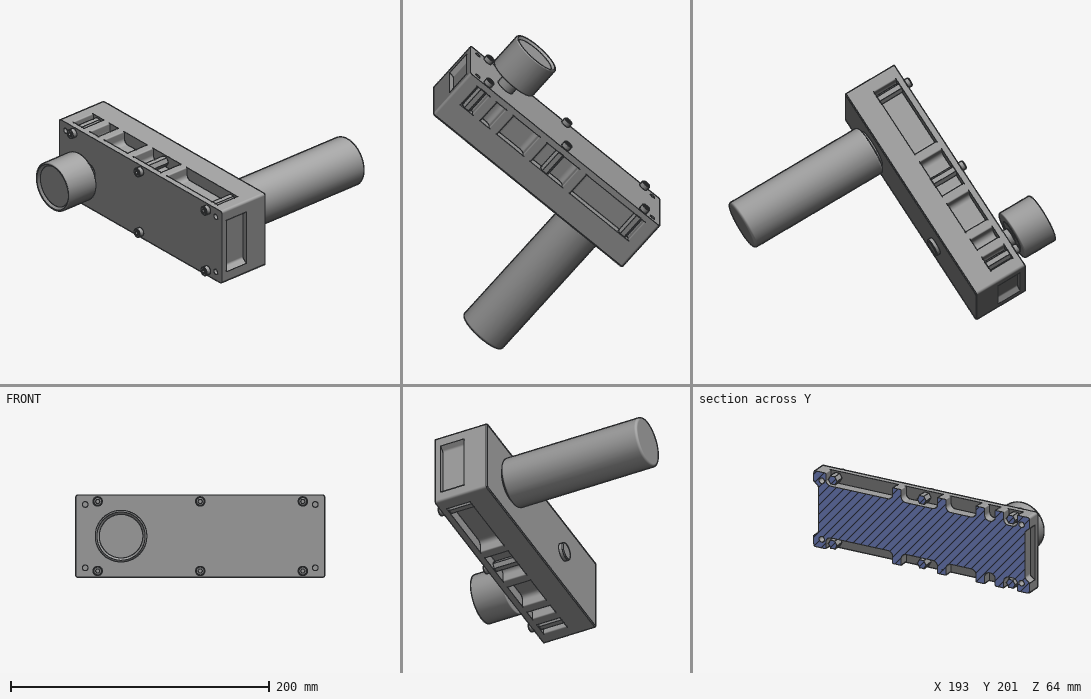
import cadquery as cq
import math

housing_length = 193.0
housing_height = 64.0
front_shell_depth = 25.0
back_shell_depth = 19.9
housing_depth = front_shell_depth + back_shell_depth
housing_corner_radius = 2.0
housing_back_chamfer = 0.8
half_length = housing_length / 2
half_height = housing_height / 2

front_plate = 4.8
pocket_depth = 10.0
pocket_floor_radius = 4.0
pocket_lip_radius = 1.0
pocket_end = 86.2
rib_width = 6.0
rib_centers = (-69.3, -52.3, -17.9, 22.1)

window_half_height = 23.0
window_depth = 4.0
window_wall_run = 3.2
window_floor_radius = 2.2

screw_positions = (-79.4, 0, 79.4)
screw_z = 27.0
screw_head_radius = 3.6
screw_head_height = 4.2
screw_head_chamfer = 0.6
socket_across_flats = 3.0
socket_depth = 2.0
standoff_across_flats = 7.0
mount_hole_x = 89.0
mount_hole_z = 24.5
mount_hole_radius = 2.2

shaft_radius = 7.2
shaft_chamfer = 0.8
stub_x = -37.0
stub_length = 3.6

grip_radius = 40.0 / 2
knob_x = -61.3
knob_gap = 9.6
knob_length = 27.5
knob_front = -(knob_gap + knob_length)
collar_radius = 12.7
collar_height = 0.5
knob_back_fillet = 1.0
knob_front_fillet = 1.0
knob_recess_rim_radius = 18.7
knob_recess_floor_radius = 16.9
knob_recess_depth = 2.0
handle_x = 56.0
handle_neck_radius = 15.0
handle_gap = 2.0
overall_depth = 201.0
handle_end = overall_depth + knob_front
handle_front_fillet = 2.0
handle_end_fillet = 2.0


def rod(x, z, radius, y_start, y_end):
    """Solid cylinder along Y."""
    return (
        cq.Workplane("XZ", origin=(x, y_start, z))
        .circle(radius)
        .extrude(y_start - y_end)
    )


def block(x_start, x_end, z_start, z_end, y_start, y_end):
    """Box between two opposite corners."""
    return cq.Workplane("XY").box(
        x_end - x_start, y_end - y_start, z_end - z_start, centered=False
    ).translate((x_start, y_start, z_start))


def make_housing():
    body = block(-half_length, half_length, -half_height, half_height, 0, housing_depth)
    return (
        body.edges("|Y").fillet(housing_corner_radius)
        .faces(">Y").edges().chamfer(housing_back_chamfer)
    )


def pocket(x_start, x_end):
    """Top-side pocket: rounded lips, straight walls and a rounded floor."""
    lip = pocket_lip_radius
    wall_start = x_start + lip
    wall_end = x_end - lip
    floor = half_height - pocket_depth
    return (
        cq.Workplane("XZ", origin=(0, front_plate, 0))
        .moveTo(x_start, half_height)
        .radiusArc((wall_start, half_height - lip), lip)
        .lineTo(wall_start, floor + pocket_floor_radius)
        .radiusArc((wall_start + pocket_floor_radius, floor), -pocket_floor_radius)
        .lineTo(wall_end - pocket_floor_radius, floor)
        .radiusArc((wall_end, floor + pocket_floor_radius), -pocket_floor_radius)
        .lineTo(wall_end, half_height - lip)
        .radiusArc((x_end, half_height), lip)
        .close()
        .extrude(front_plate - front_shell_depth)
    )


def hexagon_prism(x, z, across_flats, y_start, y_end):
    """Hexagonal prism along Y with flats facing up and down."""
    return (
        cq.Workplane("XZ", origin=(x, y_start, z))
        .polygon(6, 2 * across_flats / math.sqrt(3))
        .extrude(y_start - y_end)
    )


def make_top_pockets():
    starts = [-pocket_end] + [center + rib_width / 2 for center in rib_centers]
    ends = [center - rib_width / 2 for center in rib_centers] + [pocket_end]
    pockets = cq.Workplane("XY")
    for start, end in zip(starts, ends):
        pockets = pockets.add(pocket(start, end))
    pockets = pockets.combine()
    for x in screw_positions:
        standoff = hexagon_prism(x, screw_z, standoff_across_flats, front_plate, front_shell_depth)
        pockets = pockets.cut(standoff)
    return pockets


def make_left_window():
    """Side recess with sloped end walls that blend into its floor."""
    floor_x = -half_length + window_depth
    floor_half_height = window_half_height - window_wall_run
    recess = (
        cq.Workplane("XZ", origin=(0, front_plate, 0))
        .moveTo(-half_length, window_half_height)
        .lineTo(floor_x, floor_half_height)
        .lineTo(floor_x, -floor_half_height)
        .lineTo(-half_length, -window_half_height)
        .close()
        .extrude(front_plate - front_shell_depth)
    )
    return recess.faces(">X").edges("|Y").fillet(window_floor_radius)


def screw_head(x, z):
    socket_floor = socket_depth - screw_head_height
    socket = hexagon_prism(x, z, socket_across_flats, -screw_head_height, socket_floor)
    head = rod(x, z, screw_head_radius, -screw_head_height, 0)
    return head.faces("<Y").edges().chamfer(screw_head_chamfer).cut(socket)


def make_knob():
    collar_face = collar_height - knob_gap
    shaft = rod(knob_x, 0, shaft_radius, collar_face, 0)
    shaft = shaft.faces("<Y").edges().chamfer(shaft_chamfer)
    knob = rod(knob_x, 0, grip_radius, knob_front, -knob_gap)
    knob = knob.faces(">Y").edges().fillet(knob_back_fillet)
    knob = knob.faces("<Y").edges().fillet(knob_front_fillet)
    collar = rod(knob_x, 0, collar_radius, -knob_gap, collar_face)
    recess = (
        cq.Workplane("XZ", origin=(knob_x, knob_front, 0))
        .circle(knob_recess_rim_radius)
        .workplane(offset=-knob_recess_depth)
        .circle(knob_recess_floor_radius)
        .loft()
    )
    return knob.cut(recess).union(collar).union(shaft)


def make_handle():
    grip_start = housing_depth + handle_gap
    neck = rod(handle_x, 0, handle_neck_radius, housing_depth, grip_start)
    grip = rod(handle_x, 0, grip_radius, grip_start, handle_end)
    grip = grip.faces("<Y").edges().fillet(handle_front_fillet)
    grip = grip.faces(">Y").edges().fillet(handle_end_fillet)
    return grip.union(neck)


def make_shaft_stub():
    stub = rod(stub_x, 0, shaft_radius, housing_depth, housing_depth + stub_length)
    return stub.faces(">Y").edges().chamfer(shaft_chamfer)


result = make_housing()
top_pockets = make_top_pockets()
left_window = make_left_window()
result = result.cut(top_pockets).cut(top_pockets.mirror("XY"))
result = result.cut(left_window).cut(left_window.mirror("YZ"))

for side in (-1, 1):
    for end in (-1, 1):
        mount_hole = rod(end * mount_hole_x, side * mount_hole_z, mount_hole_radius, 0, front_shell_depth)
        result = result.cut(mount_hole)
    for x in screw_positions:
        result = result.union(screw_head(x, side * screw_z))

result = result.union(make_knob()).union(make_handle()).union(make_shaft_stub())